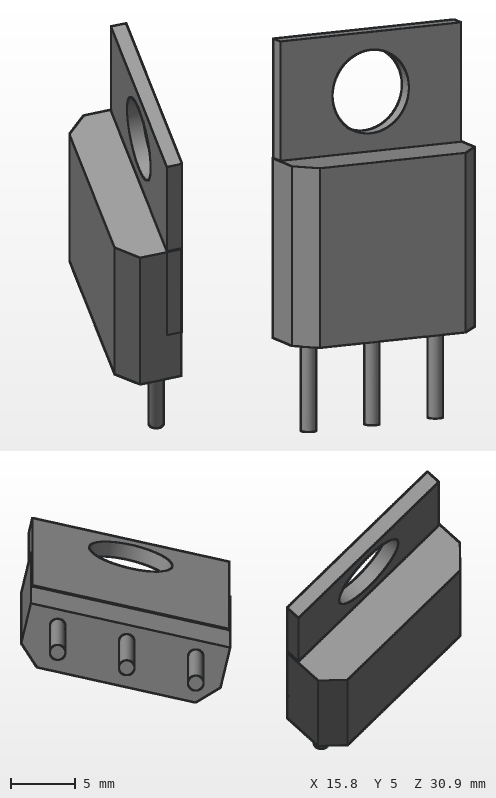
import cadquery as cq

TOTAL_HEIGHT = 30.9
PIN_LENGTH = 7.3
HOUSING_HEIGHT = 14.2
HOUSING_TOP = PIN_LENGTH + HOUSING_HEIGHT

HOUSING_WIDTH = 15.8
HOUSING_DEPTH = 4.9
BEVEL = 1.6

TAB_WIDTH = 15.6
TAB_HEIGHT = 18.8
TAB_THICKNESS = 1.25
TAB_BACK = 5.0
TAB_FRONT = TAB_BACK - TAB_THICKNESS
TAB_BOTTOM = TOTAL_HEIGHT - TAB_HEIGHT

HOLE_DIAMETER = 6.58
HOLE_Z = (HOUSING_TOP + TOTAL_HEIGHT) / 2

PIN_COUNT = 3
PIN_DIAMETER = 1.2
PIN_PITCH = 5.47
PIN_Y = 3.6


def tab_blank():
    """Plain tab plate, also the shape of the recess that it fills."""
    return (
        cq.Workplane("XY")
        .box(TAB_WIDTH, TAB_THICKNESS, TAB_HEIGHT, centered=(True, False, False))
        .translate((0, TAB_FRONT, TAB_BOTTOM))
    )


def make_tab():
    """Tab plate with its mounting hole through the thickness."""
    hole = (
        cq.Workplane("XZ", origin=(0, TAB_BACK, HOLE_Z))
        .circle(HOLE_DIAMETER / 2)
        .extrude(TAB_THICKNESS)
    )
    return tab_blank().cut(hole)


def make_housing():
    """Block with bevelled front edges and a recess for the tab in its back."""
    half_width = HOUSING_WIDTH / 2
    outline = [
        (-half_width, HOUSING_DEPTH),
        (-half_width, BEVEL),
        (-half_width + BEVEL, 0),
        (half_width - BEVEL, 0),
        (half_width, BEVEL),
        (half_width, HOUSING_DEPTH),
    ]
    block = (
        cq.Workplane("XY", origin=(0, 0, PIN_LENGTH))
        .polyline(outline)
        .close()
        .extrude(HOUSING_HEIGHT)
    )
    return block.cut(tab_blank())


def make_pin(x):
    """Round pin that hangs from the bottom face of the housing."""
    return (
        cq.Workplane("XY", origin=(x, PIN_Y, 0))
        .circle(PIN_DIAMETER / 2)
        .extrude(PIN_LENGTH)
    )


tab = make_tab()
housing = make_housing()
pins = []
for index in range(PIN_COUNT):
    pin_x = (index - (PIN_COUNT - 1) / 2) * PIN_PITCH
    pins.append(make_pin(pin_x).val())

result = cq.Compound.makeCompound([housing.val(), tab.val(), *pins])